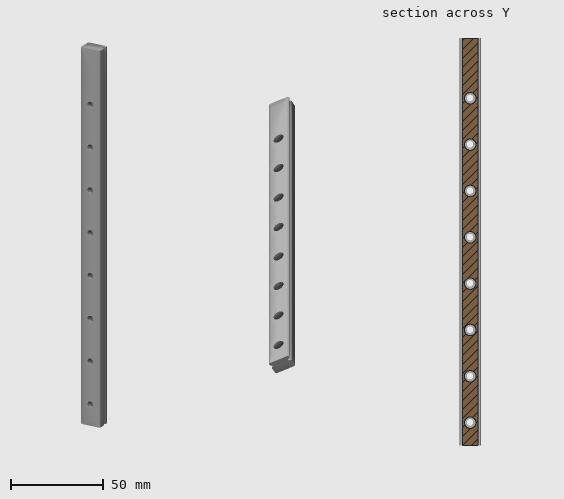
import cadquery as cq

width = 12.0
height = 8.0
length = 220.0
edge_chamfer = 0.5

groove_center_y = 1.45
mouth_half_height = 1.05
track_radius = 0.65
track_center_depth = 1.0

hole_diameter = 3.5
counterbore_diameter = 6.0
counterbore_depth = 4.5
hole_count = 8
hole_pitch = 25.0
first_hole_z = 12.5


def rail_body():
    """Rectangular bar with its four long edges chamfered."""
    bar = cq.Workplane("XY").rect(width, height).extrude(length)
    return bar.edges("|Z").chamfer(edge_chamfer)


def flank_groove(side):
    """Cutter for the groove on the +X (side=1) or -X (side=-1) flank."""
    flank_x = side * width / 2
    mouth = (
        cq.Workplane("XY")
        .moveTo(flank_x, groove_center_y + mouth_half_height)
        .lineTo(flank_x - side * mouth_half_height, groove_center_y)
        .lineTo(flank_x, groove_center_y - mouth_half_height)
        .close()
        .extrude(length)
    )
    track = (
        cq.Workplane("XY")
        .center(flank_x - side * track_center_depth, groove_center_y)
        .circle(track_radius)
        .extrude(length)
    )
    return mouth.union(track)


def drill_mounting_holes(rail):
    """Cut the row of counterbored through holes, running along Y."""
    centers = [(0, first_hole_z + i * hole_pitch) for i in range(hole_count)]
    top_face = cq.Workplane("XZ", origin=(0, height / 2, 0))
    holes = top_face.pushPoints(centers).circle(hole_diameter / 2).extrude(height)
    counterbores = (
        top_face.pushPoints(centers)
        .circle(counterbore_diameter / 2)
        .extrude(counterbore_depth)
    )
    return rail.cut(holes).cut(counterbores)


grooved_rail = rail_body()
for side in (-1, 1):
    grooved_rail = grooved_rail.cut(flank_groove(side))

result = drill_mounting_holes(grooved_rail)